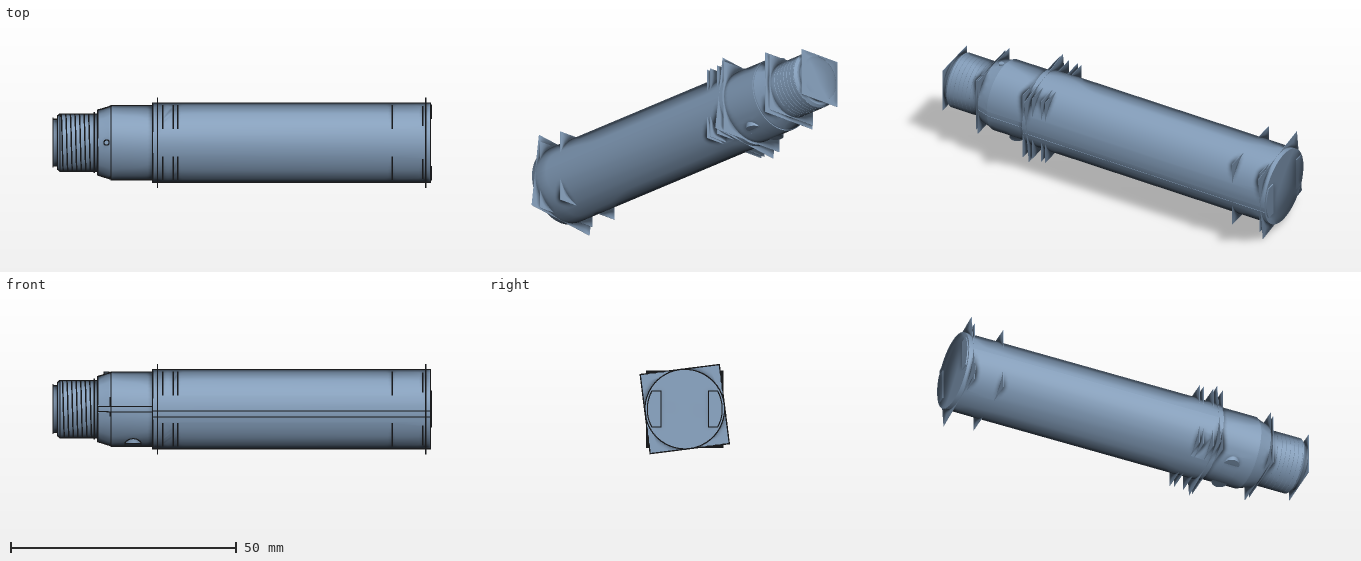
import cadquery as cq


LENGTH = 83.9
NOSE_END = 1.0
THREAD_FULL = 1.6
SLEEVE_FLANGE_X = 9.15
COLLAR_START = 9.9
CONE_END = 12.7
BARREL_START = 12.9
RING_START = 22.1
TUBE_START = 23.2
TUBE_END = 82.65
CAP_END = 83.7

NOSE_RADIUS = 5.2
NOSE_RECESS_RADIUS = 5.0
INSERT_RADIUS = 4.3
THREAD_START_RADIUS = 5.9
THREAD_RADIUS = 6.4
CONE_SMALL_RADIUS = 7.2
CONE_LARGE_RADIUS = 8.05
BARREL_DIAMETER = 16.5
BARREL_RADIUS = BARREL_DIAMETER / 2
TUBE_RADIUS = 8.8

FLANGE_THICKNESS = 0.1
NOSE_FLANGE_SIDE = 10.8
SLEEVE_FLANGE_SIDE = 13.25
COLLAR_FLANGE_SIDE = 14.35
RING_FLANGE_SIDE = 16.95
TUBE_END_FLANGE_SIDE = 17.7
TUBE_FLANGE_SIDE = 16.45
REAR_FLANGE_SIDE = 15.95
TUBE_FLANGE_STATIONS = [24.3, 26.6, 27.6, 75.1]
REAR_FLANGE_X = 81.9

TUBE_TURN = 7.2
STRIPE_ANGLE = 8.6
STRIPE_DEPTH = 0.1

NOSE_RECESS_DEPTH = 0.1
INSERT_END = 2.5
KEY_WIDTH = 1.2
KEY_TIP_RADIUS = 2.8
KEY_ANGLE = 45.0
THREAD_PITCH = 1.0
THREAD_GROOVE_WIDTH = 0.2
THREAD_GROOVE_DEPTH = 0.1
THREAD_GROOVE_START = 1.6
THREAD_TURNS = 7.0

PIN_X = 11.9
PIN_RADIUS = 0.6
PIN_BOTTOM = 6.7

WINDOW_X = 17.8
WINDOW_LENGTH = 10.1
WINDOW_WIDTH = 3.5
WINDOW_FLAT_Z = -7.6
WINDOW_ROOF_Z = -5.9

PAD_INNER_Y = 5.3
PAD_RADIUS = 8.3
PAD_WIDTH = 8.0


def disc(start, end, radius):
    """Cylinder about the X axis between two stations."""
    return cq.Workplane("YZ").workplane(offset=start).circle(radius).extrude(end - start)


def turned(profile):
    """Solid of revolution about the X axis from (x, radius) points."""
    return cq.Workplane("XY").polyline(profile).close().revolve(360, (0, 0, 0), (1, 0, 0))


def square_flange(start, side, turn=0.0):
    """Thin square plate across the X axis, turned about it."""
    plate = cq.Workplane("YZ").workplane(offset=start).rect(side, side).extrude(FLANGE_THICKNESS)
    return plate.rotate((0, 0, 0), (1, 0, 0), turn)


def side_stripe(surface, turn=0.0):
    """Shallow groove along the -Y side, following (x, radius) points of the surface."""
    outer = [(x, -radius) for x, radius in surface]
    inner = [(x, STRIPE_DEPTH - radius) for x, radius in reversed(surface)]
    strip = cq.Workplane("XY").polyline(outer + inner).close()
    groove = strip.revolve(STRIPE_ANGLE, (0, 0, 0), (1, 0, 0))
    return groove.rotate((0, 0, 0), (1, 0, 0), turn - STRIPE_ANGLE / 2)


def key_bar():
    """Round-tipped radial key between the insert and the sleeve."""
    tip_centre = KEY_TIP_RADIUS + KEY_WIDTH / 2
    depth = INSERT_END - NOSE_RECESS_DEPTH
    face = cq.Workplane("YZ").workplane(offset=NOSE_RECESS_DEPTH)
    bar = face.center(tip_centre + INSERT_RADIUS / 2, 0).rect(INSERT_RADIUS, KEY_WIDTH).extrude(depth)
    tip = face.center(tip_centre, 0).circle(KEY_WIDTH / 2).extrude(depth)
    return bar.union(tip).rotate((0, 0, 0), (1, 0, 0), KEY_ANGLE)


def make_insert():
    return disc(NOSE_RECESS_DEPTH, INSERT_END, INSERT_RADIUS).cut(key_bar())


def thread_groove():
    """Right-handed V groove wound around the sleeve."""
    height = THREAD_TURNS * THREAD_PITCH
    overlap = 0.1
    path = cq.Wire.makeHelix(THREAD_PITCH, height, THREAD_RADIUS)
    crest = THREAD_RADIUS + overlap
    root = THREAD_RADIUS - THREAD_GROOVE_DEPTH
    half_width = THREAD_GROOVE_WIDTH / 2
    vee = cq.Workplane("XZ").polyline([(crest, -half_width), (crest, half_width), (root, 0)]).close()
    groove = vee.sweep(cq.Workplane(obj=path), isFrenet=True)
    return groove.rotate((0, 0, 0), (0, 1, 0), 90).translate((THREAD_GROOVE_START, 0, 0))


def make_sleeve(insert):
    sleeve = turned([
        (0, 0),
        (0, NOSE_RADIUS),
        (NOSE_END, NOSE_RADIUS),
        (NOSE_END, THREAD_START_RADIUS),
        (THREAD_FULL, THREAD_RADIUS),
        (COLLAR_START, THREAD_RADIUS),
        (COLLAR_START, 0),
    ])
    sleeve = sleeve.cut(thread_groove())
    sleeve = sleeve.union(square_flange(0, NOSE_FLANGE_SIDE))
    sleeve = sleeve.union(square_flange(SLEEVE_FLANGE_X, SLEEVE_FLANGE_SIDE))
    return sleeve.cut(disc(0, NOSE_RECESS_DEPTH, NOSE_RECESS_RADIUS)).cut(insert)


def make_pin():
    pin = cq.Workplane("XY", origin=(PIN_X, 0, PIN_BOTTOM)).circle(PIN_RADIUS)
    return pin.extrude(BARREL_RADIUS - PIN_BOTTOM)


def make_collar(pin):
    surface = [
        (COLLAR_START, CONE_SMALL_RADIUS),
        (CONE_END, CONE_LARGE_RADIUS),
        (BARREL_START, CONE_LARGE_RADIUS),
    ]
    collar = turned([(COLLAR_START, 0)] + surface + [(BARREL_START, 0)])
    collar = collar.cut(side_stripe(surface))
    return collar.union(square_flange(COLLAR_START, COLLAR_FLANGE_SIDE)).cut(pin)


def window_slot(bottom):
    """Round-ended block across the barrel, from the window roof down to the given level."""
    outline = cq.Workplane("XY", origin=(WINDOW_X, 0, bottom)).slot2D(WINDOW_LENGTH, WINDOW_WIDTH, 90)
    return outline.extrude(WINDOW_ROOF_Z - bottom)


def make_window():
    """Window with a flat underside at its ends and the barrel's curve in the middle."""
    curved = window_slot(-BARREL_RADIUS).intersect(disc(BARREL_START, RING_START, BARREL_RADIUS))
    return window_slot(WINDOW_FLAT_Z).union(curved)


def make_barrel(window):
    barrel = disc(BARREL_START, RING_START, BARREL_RADIUS).cut(window)
    return barrel.cut(side_stripe([(BARREL_START, BARREL_RADIUS), (RING_START, BARREL_RADIUS)]))


def striped_disc(start, end):
    """Length of the tube's diameter carrying the turned side stripe."""
    return disc(start, end, TUBE_RADIUS).cut(
        side_stripe([(start, TUBE_RADIUS), (end, TUBE_RADIUS)], TUBE_TURN)
    )


def make_ring():
    return striped_disc(RING_START, TUBE_START).union(square_flange(RING_START, RING_FLANGE_SIDE))


def make_tube():
    tube = striped_disc(TUBE_START, TUBE_END)
    for x in (TUBE_START, TUBE_END - FLANGE_THICKNESS):
        tube = tube.union(square_flange(x, TUBE_END_FLANGE_SIDE, TUBE_TURN))
    for x in TUBE_FLANGE_STATIONS:
        tube = tube.union(square_flange(x, TUBE_FLANGE_SIDE))
    return tube.union(square_flange(REAR_FLANGE_X, REAR_FLANGE_SIDE))


def make_cap():
    """Rear cap with a raised pad on each of its +Y and -Y sides."""
    cap = striped_disc(TUBE_END, CAP_END)
    pad_height = LENGTH - CAP_END
    pads = disc(CAP_END, LENGTH, PAD_RADIUS)
    pads = pads.intersect(cq.Workplane("XY").box(2 * LENGTH, 2 * PAD_RADIUS, PAD_WIDTH))
    middle = cq.Workplane("YZ").workplane(offset=CAP_END).rect(2 * PAD_INNER_Y, PAD_WIDTH)
    return cap.union(pads.cut(middle.extrude(pad_height)))


insert = make_insert()
sleeve = make_sleeve(insert)
pin = make_pin()
collar = make_collar(pin)
window = make_window()
barrel = make_barrel(window)
ring = make_ring()
tube = make_tube()
cap = make_cap()

bodies = [insert, sleeve, pin, collar, window, barrel, ring, tube, cap]
result = cq.Compound.makeCompound([body.solids().val() for body in bodies])